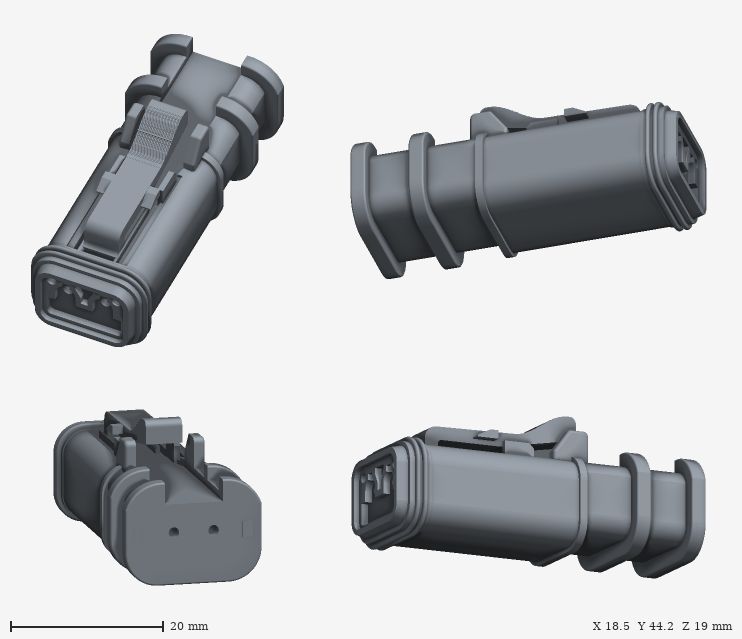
import cadquery as cq
import math

OVERALL_LENGTH = 44.2
MARK_HEIGHT = 0.1
REAR_FACE = OVERALL_LENGTH - MARK_HEIGHT
NOSE_LENGTH = 1.45
BAND_REAR = 4.6
COLLAR_FRONT, COLLAR_REAR = 26.25, 27.25

HALF_WIDTH = 7.6
HALF_HEIGHT = 5.85
CORNER_RADIUS = 3.23
CORNER_X = HALF_WIDTH - CORNER_RADIUS
CORNER_Z = HALF_HEIGHT - CORNER_RADIUS

COLLAR_STEP = 0.55
BAND_STEP = 0.15
SEAL_STEP = 0.8
SEAL_RADIUS = 0.3
NOSE_STEP = -0.5
SEAL_CENTRES = (2.5, 3.6)
NOSE_TAPER = 0.35

REAR_HALF_WIDTH = 7.35
REAR_BOTTOM = 4.2
REAR_BOTTOM_RADIUS = 2.55
FLANGE_OVERALL_WIDTH = 18.5
FLANGE_STEP = FLANGE_OVERALL_WIDTH / 2 - REAR_HALF_WIDTH
FLANGE_WIDTH = 2.08
FLANGE_PITCH = 8.0
FLANGE_ROUND = 0.25

CHANNEL_FLOOR = 4.8
CHANNEL_HALF_WIDTH = 3.95
GROOVE_OUTER, GROOVE_INNER = 3.5, 2.75
GROOVE_RADIUS = GROOVE_OUTER - GROOVE_INNER
TAPER_REAR, TAPER_FRONT = 23.75, 21.55
SHELF_REAR = 22.4
SHELF_DEPTH = 0.45
FENCE_RADIUS = 0.6
FENCE_REAR = 15.45

EAR_FRONT, EAR_REAR = 23.75, 28.85
EAR_OUTER_X = 5.45
EAR_TOP = 9.9
EAR_FRONT_TOP = 6.85
EAR_TOP_FRONT_Y = 26.05
EAR_BASE = 4.85
EAR_EDGE_ROUND = 0.45
EAR_REAR_ROUND = 0.75
RIB_FRONT, RIB_REAR = 17.25, 21.5
RIB_INNER_X = 3.15
RIB_TOP = 7.82
RIB_CHAMFER = 0.65

LATCH_HALF_WIDTH = 2.48
LATCH_REAR = 28.35
LATCH_CREST = 12.38
LATCH_CREST_ROUND = 0.9
LATCH_REAR_UNDERSIDE = 9.25
LATCH_BEND_Y = 17.25
LATCH_UNDERSIDE = 7.3
LATCH_TOP_REAR, LATCH_TOP_FRONT = 9.25, 9.05
LATCH_LEG_FRONT, LATCH_LEG_REAR = 6.25, 8.15
LATCH_OUTER_ROUND = 1.72
LATCH_INNER_ROUND = 0.55
LATCH_FOOT_TOP = 6.45
LATCH_FOOT_ROUND = 0.65
GRIP_REAR, GRIP_FRONT = 27.25, 19.4
GRIP_STEPS = 66
GRIP_LAND_STEP = 33
WING_FRONT, WING_REAR = 13.3, 16.3
WING_TOP_FRONT = 15.1
WING_TOP, WING_BOTTOM, WING_TIP = 9.1, 7.95, 8.18

CAVITY_DEPTH = 0.75
CAVITY_HALF_WIDTH = 5.95
CAVITY_HALF_HEIGHT = 4.2
CAVITY_TOP_RADIUS, CAVITY_BOTTOM_RADIUS = 1.7, 1.33
POCKET_DEPTH = 0.97
POCKET_HALF_WIDTH = 5.3
POCKET_BOTTOM, POCKET_TOP = -3.6, -0.5
POCKET_RADIUS = 0.6
TERMINAL_X, TERMINAL_Z = 2.7, 0.97
TERMINAL_RADIUS = 0.7
KEYHOLE_HALF_WIDTH = 1.45
KEY_HALF_WIDTH = 0.6
KEY_TOP = 3.1
FUNNEL_TOP, FUNNEL_SHOULDER, FUNNEL_NECK, FUNNEL_BOTTOM = 3.5, 2.8, 1.33, 0.3
FUNNEL_HALF_WIDTH, FUNNEL_NECK_HALF_WIDTH = 1.3, 0.5
GUIDE_HOLE_X, GUIDE_HOLE_Z, GUIDE_HOLE_RADIUS = 4.7, 2.85, 0.65

REAR_MARKS = ((-7.3, 1.45), (7.6, 0.95))
MARK_CENTRE_Z = 0.95
MARK_TALL = 2.1


def cross_plane(y):
    """Plane across the length at y; extruding runs toward the nose."""
    return cq.Workplane("XZ", origin=(0, y, 0))


def side_plane(x):
    """Plane of the side profiles, at x; extruding runs toward +X."""
    return cq.Workplane("YZ", origin=(x, 0, 0))


def box(x0, x1, y0, y1, z0, z1):
    return cq.Workplane("XY").box(x1 - x0, y1 - y0, z1 - z0, centered=False).translate((x0, y0, z0))


def both_sides(solid):
    return solid.union(solid.mirror("YZ"))


def main_section(step, y_front, y_rear):
    """Prism of the main section, grown outward by step with the same corner centres."""
    block = cross_plane(y_rear).rect(2 * (HALF_WIDTH + step), 2 * (HALF_HEIGHT + step))
    return block.extrude(y_rear - y_front).edges("|Y").fillet(CORNER_RADIUS + step)


def rear_section(step, y_front, y_rear):
    """Prism of the rear section: the main section's upper corners, cut by narrower sides and a higher floor."""
    half_width = REAR_HALF_WIDTH + step
    top = HALF_HEIGHT + step
    bottom = -REAR_BOTTOM - step
    top_radius = CORNER_RADIUS + step
    bottom_radius = REAR_BOTTOM_RADIUS + step
    end_angle = math.acos((half_width - CORNER_X) / top_radius)
    mid_angle = (math.pi / 2 + end_angle) / 2
    mid_x = CORNER_X + top_radius * math.cos(mid_angle)
    mid_z = CORNER_Z + top_radius * math.sin(mid_angle)
    side_z = CORNER_Z + top_radius * math.sin(end_angle)
    outline = (
        cross_plane(y_rear)
        .moveTo(-CORNER_X, top)
        .lineTo(CORNER_X, top)
        .threePointArc((mid_x, mid_z), (half_width, side_z))
        .lineTo(half_width, bottom + bottom_radius)
        .radiusArc((half_width - bottom_radius, bottom), bottom_radius)
        .lineTo(bottom_radius - half_width, bottom)
        .radiusArc((-half_width, bottom + bottom_radius), bottom_radius)
        .lineTo(-half_width, side_z)
        .threePointArc((-mid_x, mid_z), (-CORNER_X, top))
        .close()
    )
    return outline.extrude(y_rear - y_front)


def make_shell():
    """Outer housing from rear flanges to seal band."""
    shell = main_section(0, BAND_REAR, COLLAR_REAR)
    shell = shell.union(rear_section(0, COLLAR_FRONT, REAR_FACE))
    shell = shell.union(main_section(COLLAR_STEP, COLLAR_FRONT, COLLAR_REAR))
    for flange_rear in (REAR_FACE, REAR_FACE - FLANGE_PITCH):
        flange = rear_section(FLANGE_STEP, flange_rear - FLANGE_WIDTH, flange_rear)
        shell = shell.union(flange.faces("<Y or >Y").edges().fillet(FLANGE_ROUND))
    return shell


def make_channel():
    """Open channel for the latch: wide at the rear, with two fences and outer grooves at the front."""
    profile = [
        (CHANNEL_HALF_WIDTH, REAR_FACE),
        (CHANNEL_HALF_WIDTH, TAPER_REAR),
        (GROOVE_OUTER, TAPER_FRONT),
        (GROOVE_OUTER, BAND_REAR),
    ]
    mirrored = [(-x, y) for x, y in reversed(profile)]
    height = EAR_TOP - CHANNEL_FLOOR
    channel = cq.Workplane("XY", origin=(0, 0, CHANNEL_FLOOR))
    channel = channel.polyline(profile + mirrored).close().extrude(height)
    fence_inner = GROOVE_INNER - FENCE_RADIUS
    fence = (
        cross_plane(FENCE_REAR)
        .moveTo(fence_inner, CHANNEL_FLOOR)
        .lineTo(GROOVE_INNER, CHANNEL_FLOOR)
        .lineTo(GROOVE_INNER, HALF_HEIGHT)
        .radiusArc((fence_inner, HALF_HEIGHT - FENCE_RADIUS), -FENCE_RADIUS)
        .close()
        .extrude(FENCE_REAR - BAND_REAR)
    )
    groove = (
        cross_plane(RIB_FRONT)
        .moveTo(GROOVE_INNER, CHANNEL_FLOOR)
        .lineTo(GROOVE_OUTER, CHANNEL_FLOOR)
        .lineTo(GROOVE_OUTER, CHANNEL_FLOOR - GROOVE_RADIUS)
        .radiusArc((GROOVE_INNER, CHANNEL_FLOOR), -GROOVE_RADIUS)
        .close()
        .extrude(RIB_FRONT - BAND_REAR)
    )
    shelf = box(GROOVE_INNER, CORNER_X, BAND_REAR, SHELF_REAR, HALF_HEIGHT - SHELF_DEPTH, EAR_TOP)
    sides = groove.union(shelf)
    return channel.union(both_sides(sides)).cut(both_sides(fence))


def make_seal(centre):
    """Round-topped bead running once round the section."""
    bead_step = SEAL_STEP - SEAL_RADIUS
    path = main_section(bead_step, centre, BAND_REAR).faces("<Y").wires()
    start = cq.Workplane("YZ", origin=(0, centre, HALF_HEIGHT + bead_step))
    bead = start.circle(SEAL_RADIUS).sweep(path)
    return bead.union(main_section(bead_step, centre - SEAL_RADIUS, centre + SEAL_RADIUS))


def make_front_end():
    """Seal band with two rounded ribs, and the tapered nose."""
    front = main_section(BAND_STEP, NOSE_LENGTH, BAND_REAR)
    for centre in SEAL_CENTRES:
        front = front.union(make_seal(centre))
    taper_angle = math.degrees(math.atan(NOSE_TAPER / NOSE_LENGTH))
    base = main_section(NOSE_STEP, NOSE_LENGTH, BAND_REAR)
    nose = base.faces("<Y").wires().toPending().workplane().extrude(NOSE_LENGTH, taper=taper_angle)
    return front.union(nose)


def make_ears():
    """Pair of stop ears beside the latch grip."""
    ear = (
        side_plane(CHANNEL_HALF_WIDTH)
        .moveTo(EAR_REAR, EAR_BASE)
        .lineTo(EAR_REAR, EAR_TOP - EAR_REAR_ROUND)
        .radiusArc((EAR_REAR - EAR_REAR_ROUND, EAR_TOP), -EAR_REAR_ROUND)
        .lineTo(EAR_TOP_FRONT_Y, EAR_TOP)
        .lineTo(EAR_FRONT, EAR_FRONT_TOP)
        .lineTo(EAR_FRONT, EAR_BASE)
        .close()
        .extrude(EAR_OUTER_X - CHANNEL_HALF_WIDTH)
    )
    front_corners = cq.selectors.BoxSelector(
        (0, EAR_FRONT - 0.45, EAR_FRONT_TOP - 0.45), (EAR_OUTER_X, EAR_TOP_FRONT_Y + 0.45, EAR_TOP + 0.45)
    )
    ear = ear.edges("|X").edges(front_corners).fillet(EAR_EDGE_ROUND)
    ear = ear.faces(">X").edges("not <Z").fillet(EAR_EDGE_ROUND)
    return both_sides(ear)


def make_ribs():
    """Pair of low guide ribs beside the latch arm."""
    rib = box(RIB_INNER_X, CHANNEL_HALF_WIDTH, RIB_FRONT, RIB_REAR, CHANNEL_FLOOR - GROOVE_RADIUS, RIB_TOP)
    return both_sides(rib.edges(">Y and >Z").chamfer(RIB_CHAMFER))


def grip_points():
    """Stair corners down the half-cosine grip, with one wider land halfway."""
    tread = (GRIP_REAR - GRIP_FRONT) / GRIP_STEPS
    drop = LATCH_CREST - LATCH_TOP_REAR
    points = []
    height = LATCH_CREST
    for step in range(1, GRIP_STEPS + 1):
        y = GRIP_REAR - tread * step
        next_height = LATCH_CREST - drop * (1 - math.cos(math.pi * step / GRIP_STEPS)) / 2
        if step != GRIP_LAND_STEP:
            points += [(y, height), (y, next_height)]
            height = next_height
    return points


def make_latch():
    """Latch arm with stepped grip, bent front leg and locking wings."""
    foot_front = LATCH_LEG_FRONT - LATCH_FOOT_ROUND
    arm = (
        side_plane(-LATCH_HALF_WIDTH)
        .moveTo(LATCH_REAR, LATCH_REAR_UNDERSIDE)
        .lineTo(LATCH_REAR, LATCH_CREST - LATCH_CREST_ROUND)
        .radiusArc((LATCH_REAR - LATCH_CREST_ROUND, LATCH_CREST), -LATCH_CREST_ROUND)
        .lineTo(GRIP_REAR, LATCH_CREST)
    )
    for point in grip_points():
        arm = arm.lineTo(*point)
    arm = (
        arm.lineTo(LATCH_LEG_FRONT + LATCH_OUTER_ROUND, LATCH_TOP_FRONT)
        .radiusArc((LATCH_LEG_FRONT, LATCH_TOP_FRONT - LATCH_OUTER_ROUND), -LATCH_OUTER_ROUND)
        .lineTo(LATCH_LEG_FRONT, LATCH_FOOT_TOP)
        .radiusArc((foot_front, LATCH_FOOT_TOP - LATCH_FOOT_ROUND), LATCH_FOOT_ROUND)
        .lineTo(foot_front, CHANNEL_FLOOR)
        .lineTo(LATCH_LEG_REAR, CHANNEL_FLOOR)
        .lineTo(LATCH_LEG_REAR, LATCH_UNDERSIDE - LATCH_INNER_ROUND)
        .radiusArc((LATCH_LEG_REAR + LATCH_INNER_ROUND, LATCH_UNDERSIDE), LATCH_INNER_ROUND)
        .lineTo(LATCH_BEND_Y, LATCH_UNDERSIDE)
        .close()
        .extrude(2 * LATCH_HALF_WIDTH)
    )
    wing_outline = [
        (WING_REAR, WING_BOTTOM),
        (WING_REAR, WING_TOP),
        (WING_TOP_FRONT, WING_TOP),
        (WING_FRONT, WING_TIP),
        (WING_FRONT, WING_BOTTOM),
    ]
    wings = side_plane(-CHANNEL_HALF_WIDTH).polyline(wing_outline).close().extrude(2 * CHANNEL_HALF_WIDTH)
    return arm.union(wings)


def make_keyhole(x, y_rear):
    """Arched terminal slot with a square key notch on top, joining the wide pocket below."""
    leg = cross_plane(y_rear).center(x, (POCKET_TOP + TERMINAL_Z) / 2)
    leg = leg.rect(2 * KEYHOLE_HALF_WIDTH, TERMINAL_Z - POCKET_TOP).extrude(POCKET_DEPTH)
    arch = cross_plane(y_rear).center(x, TERMINAL_Z).circle(KEYHOLE_HALF_WIDTH).extrude(POCKET_DEPTH)
    notch = cross_plane(y_rear).center(x, (TERMINAL_Z + KEY_TOP) / 2)
    notch = notch.rect(2 * KEY_HALF_WIDTH, KEY_TOP - TERMINAL_Z).extrude(POCKET_DEPTH)
    return leg.union(arch).union(notch)


def make_front_cavity():
    """Everything hollow: the nose recess, its pockets and the terminal passages."""
    cavity = cross_plane(CAVITY_DEPTH).rect(2 * CAVITY_HALF_WIDTH, 2 * CAVITY_HALF_HEIGHT)
    cavity = cavity.extrude(CAVITY_DEPTH).edges("|Y and >Z").fillet(CAVITY_TOP_RADIUS)
    cavity = cavity.edges("|Y and <Z").fillet(CAVITY_BOTTOM_RADIUS)

    pocket_rear = CAVITY_DEPTH + POCKET_DEPTH
    pocket = box(
        -POCKET_HALF_WIDTH, POCKET_HALF_WIDTH, CAVITY_DEPTH, pocket_rear, POCKET_BOTTOM, POCKET_TOP
    )
    cavity = cavity.union(pocket.edges("|Y and <Z").fillet(POCKET_RADIUS))

    funnel_side = [
        (FUNNEL_HALF_WIDTH, FUNNEL_TOP),
        (FUNNEL_HALF_WIDTH, FUNNEL_SHOULDER),
        (FUNNEL_NECK_HALF_WIDTH, FUNNEL_NECK),
        (FUNNEL_NECK_HALF_WIDTH, FUNNEL_BOTTOM),
    ]
    funnel_outline = funnel_side + [(-x, z) for x, z in reversed(funnel_side)]
    cavity = cavity.union(cross_plane(pocket_rear).polyline(funnel_outline).close().extrude(POCKET_DEPTH))

    for side in (-1, 1):
        cavity = cavity.union(make_keyhole(side * TERMINAL_X, pocket_rear))
        guide = cross_plane(pocket_rear).center(side * GUIDE_HOLE_X, GUIDE_HOLE_Z)
        cavity = cavity.union(guide.circle(GUIDE_HOLE_RADIUS).extrude(POCKET_DEPTH))
        passage = cross_plane(OVERALL_LENGTH).center(side * TERMINAL_X, TERMINAL_Z)
        cavity = cavity.union(passage.circle(TERMINAL_RADIUS).extrude(OVERALL_LENGTH))
    return cavity


def make_rear_marks():
    """Small raised pads on the rear flange face."""
    marks = cross_plane(OVERALL_LENGTH)
    for x, width in REAR_MARKS:
        marks = marks.moveTo(x, MARK_CENTRE_Z).rect(width, MARK_TALL)
    return marks.extrude(2 * MARK_HEIGHT)


result = (
    make_shell()
    .cut(make_channel())
    .union(make_front_end())
    .union(make_ears())
    .union(make_ribs())
    .union(make_latch())
    .union(make_rear_marks())
    .cut(make_front_cavity())
)